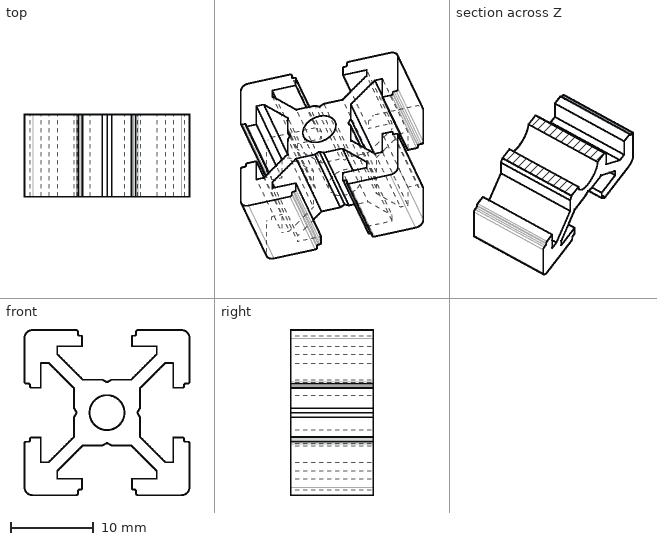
import cadquery as cq
import math

LENGTH = 10.0
HALF_WIDTH = 10.0
CORNER_RADIUS = 1.0
BORE_DIAMETER = 4.2

MOUTH_HALF = 3.5
STEP_DEPTH = 0.68
THROAT_HALF = 3.0
LIP_THICKNESS = 2.0
CAVITY_HALF = 6.0
CORE_HALF = 4.0
WEB_THICKNESS = 1.5

OUTER_ROUND = 0.25
STEP_ROUND = 0.17

GROOVE_HALF = 0.55
GROOVE_DEPTH = 0.32

STEP_LEVEL = HALF_WIDTH - STEP_DEPTH
CAVITY_TOP = HALF_WIDTH - LIP_THICKNESS
WEB_OFFSET = WEB_THICKNESS / math.sqrt(2)

SLOT_COUNT = 4
CUT_MARGIN = 1.0
PICK_TOLERANCE = 0.01


def make_bar():
    """Square bar with rounded long edges."""
    bar = cq.Workplane("XY").box(2 * HALF_WIDTH, LENGTH, 2 * HALF_WIDTH)
    return bar.edges("|Y").fillet(CORNER_RADIUS)


def make_slot_cutter():
    """Cutter for the slot that opens towards +Z."""
    right_side = [
        (GROOVE_HALF, CORE_HALF),
        (CORE_HALF - WEB_OFFSET, CORE_HALF),
        (CAVITY_HALF, CAVITY_HALF + WEB_OFFSET),
        (CAVITY_HALF, CAVITY_TOP),
        (THROAT_HALF, CAVITY_TOP),
        (THROAT_HALF, STEP_LEVEL),
        (MOUTH_HALF, STEP_LEVEL),
        (MOUTH_HALF, HALF_WIDTH + CUT_MARGIN),
    ]
    left_side = [(-x, z) for x, z in reversed(right_side)]
    groove_bottom = (0, CORE_HALF - GROOVE_DEPTH)
    outline = cq.Workplane("XZ").polyline([groove_bottom] + right_side + left_side).close()
    return outline.extrude(LENGTH / 2, both=True)


def cut_slots(body):
    """Cut one slot into each of the four long sides."""
    cutter = make_slot_cutter()
    for index in range(SLOT_COUNT):
        angle = index * 360 / SLOT_COUNT
        body = body.cut(cutter.rotate((0, 0, 0), (0, 1, 0), angle))
    return body


def round_lip_edges(body, across, level, radius):
    """Round the lip edges at +-across from a slot centre line and at the given level, in every slot."""
    picked = body.newObject([])
    for x, z in ((across, level), (level, across)):
        for x_sign in (1, -1):
            for z_sign in (1, -1):
                centre = cq.Vector(x_sign * x, 0, z_sign * z)
                reach = cq.Vector(PICK_TOLERANCE, LENGTH, PICK_TOLERANCE)
                box = cq.selectors.BoxSelector((centre - reach).toTuple(), (centre + reach).toTuple())
                picked = picked.add(body.edges("|Y").edges(box))
    return picked.fillet(radius)


def drill_bore(body):
    """Round bore along the profile axis."""
    bore = cq.Workplane("XZ").circle(BORE_DIAMETER / 2).extrude(LENGTH / 2, both=True)
    return body.cut(bore)


profile = cut_slots(make_bar())
profile = round_lip_edges(profile, MOUTH_HALF, HALF_WIDTH, OUTER_ROUND)
profile = round_lip_edges(profile, MOUTH_HALF, STEP_LEVEL, STEP_ROUND)
profile = round_lip_edges(profile, THROAT_HALF, STEP_LEVEL, STEP_ROUND)
result = drill_bore(profile)